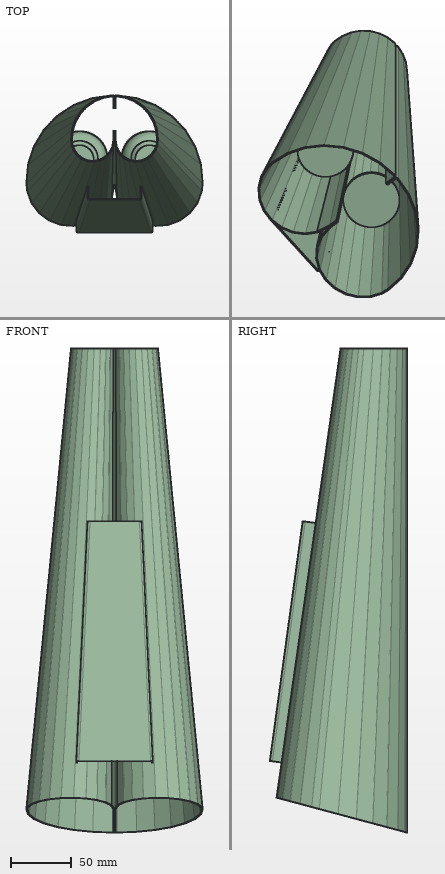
import cadquery as cq
import math

HEIGHT = 400.0
TOP_RADIUS = 36.0
TOP_LOBE_Y = -37.0
BOTTOM_RADIUS = 74.8
BOTTOM_LOBE_Y = -74.8
FOOT_ANGLE = 15.0

SHEET = 1.0
BEND_RADIUS = 2.0
BACK_FLANGE = 10.8
VALLEY_FLANGE = 8.0
BACK_FACETS = 7
LOBE_FACETS = 9
LOBE_START = 10.0
LOBE_END = 160.0

TRAY_FOOT_Z = 59.0
TRAY_FOOT_Y = -113.5
TRAY_LENGTH = 200.0
TRAY_FOOT_WIDTH = 63.0
TRAY_HEAD_WIDTH = 44.8
TRAY_LEAN = 7.8
TRAY_FLANGE = 19.0

DOME_X = 28.8
DOME_Y = -52.8
DOME_Z = 128.0
DOME_RADIUS = 23.0
DOME_HEIGHT = 16.0
DOME_RIM_DIRECTION = (0, 1)
DOME_TOP_DIRECTION = (-1, 0.5)
CAP_RADIUS = 15.0
CAP_HEIGHT = 4.0
CAP_CHAMFER = 3.5

SIDES = (-1, 1)


def on_circle(center_x, center_y, radius, degrees):
    """Point on a circle, with 0 degrees at -X and turning toward -Y."""
    angle = math.radians(degrees)
    return (center_x - radius * math.cos(angle), center_y - radius * math.sin(angle))


def skin_points(radius, lobe_y, inset):
    """Facet corners of the left half of the heart, from the back bend to the valley."""
    bend_angle = math.degrees(math.asin(BEND_RADIUS / radius))
    back_step = (90 - bend_angle) / BACK_FACETS
    back = [(-BEND_RADIUS, -inset)] + [
        on_circle(0, -radius, radius - inset, bend_angle + back_step * i - 90)
        for i in range(1, BACK_FACETS + 1)
    ]
    lobe_radius = radius / 2
    lobe_step = (LOBE_END - LOBE_START) / LOBE_FACETS
    lobe_angles = [LOBE_START + lobe_step * i for i in range(LOBE_FACETS + 1)] + [180]
    lobe = [on_circle(-lobe_radius, lobe_y, lobe_radius - inset, angle) for angle in lobe_angles]
    return back + lobe


def shell_section(radius, lobe_y, z):
    """Closed sheet section of the left shell, with both flanges along X = 0."""
    outer = skin_points(radius, lobe_y, 0)
    inner = skin_points(radius, lobe_y, SHEET)
    valley_y = lobe_y + VALLEY_FLANGE
    inner_bend = BEND_RADIUS - SHEET
    return (
        cq.Workplane("XY", origin=(0, 0, z))
        .moveTo(0, -BACK_FLANGE)
        .lineTo(0, -BEND_RADIUS)
        .radiusArc(outer[0], -BEND_RADIUS)
        .polyline(outer[1:], includeCurrent=True)
        .lineTo(0, valley_y)
        .lineTo(-SHEET, valley_y)
        .polyline(inner[::-1], includeCurrent=True)
        .radiusArc((-SHEET, -BEND_RADIUS), inner_bend)
        .lineTo(-SHEET, -BACK_FLANGE)
        .close()
        .val()
    )


def solid_section(radius, lobe_y, z):
    """Filled outline of the left shell."""
    outer = [(0, 0)] + skin_points(radius, lobe_y, 0)
    return cq.Workplane("XY", origin=(0, 0, z)).polyline(outer).close().val()


def taper(section):
    """Straight loft of a section from the foot to the top, cut off by the sloping foot plane."""
    ends = [section(BOTTOM_RADIUS, BOTTOM_LOBE_Y, 0), section(TOP_RADIUS, TOP_LOBE_Y, HEIGHT)]
    body = cq.Solid.makeLoft(ends, True)
    reach = 2 * BOTTOM_RADIUS
    below_foot = (
        cq.Workplane("YZ")
        .polyline([(0, 0), (-reach, 0), (-reach, reach * math.tan(math.radians(FOOT_ANGLE)))])
        .close()
        .extrude(reach, both=True)
    )
    return cq.Workplane(body).cut(below_foot)


def on_side(body, side):
    """The left body itself, or its mirror image on the right."""
    return body if side < 0 else body.mirror("YZ")


def make_tray(cores):
    """U-shaped bent tray: a tapering plate with side flanges that end on the shells."""
    lean = math.radians(TRAY_LEAN)
    axis = cq.Vector(0, math.sin(lean), math.cos(lean))
    foot = cq.Vector(0, TRAY_FOOT_Y, TRAY_FOOT_Z)

    def section(width, distance):
        half = width / 2
        inner = half - SHEET
        inner_bend = BEND_RADIUS - SHEET
        plane = cq.Plane(origin=foot + axis * distance, xDir=(1, 0, 0), normal=axis)
        return (
            cq.Workplane(plane)
            .moveTo(-half, TRAY_FLANGE)
            .lineTo(-half, BEND_RADIUS)
            .radiusArc((BEND_RADIUS - half, 0), -BEND_RADIUS)
            .lineTo(half - BEND_RADIUS, 0)
            .radiusArc((half, BEND_RADIUS), -BEND_RADIUS)
            .lineTo(half, TRAY_FLANGE)
            .lineTo(inner, TRAY_FLANGE)
            .lineTo(inner, BEND_RADIUS)
            .radiusArc((half - BEND_RADIUS, SHEET), inner_bend)
            .lineTo(BEND_RADIUS - half, SHEET)
            .radiusArc((-inner, BEND_RADIUS), inner_bend)
            .lineTo(-inner, TRAY_FLANGE)
            .close()
            .val()
        )

    ends = [section(TRAY_FOOT_WIDTH, 0), section(TRAY_HEAD_WIDTH, TRAY_LENGTH)]
    tray = cq.Workplane(cq.Solid.makeLoft(ends, True))
    for core in cores:
        tray = tray.cut(core)
    return tray


def make_dome(x):
    """Rounded dome with a flat round top the size of its cap."""
    directions = [DOME_RIM_DIRECTION, DOME_TOP_DIRECTION]
    return (
        cq.Workplane("XZ")
        .lineTo(DOME_RADIUS, 0)
        .spline([(CAP_RADIUS, DOME_HEIGHT)], tangents=directions, includeCurrent=True)
        .lineTo(0, DOME_HEIGHT)
        .close()
        .revolve(360, (0, 0), (0, 1))
        .translate((x, DOME_Y, DOME_Z))
    )


def make_cap(x):
    """Chamfered disc on top of a dome."""
    return (
        cq.Workplane("XY", origin=(x, DOME_Y, DOME_Z + DOME_HEIGHT))
        .circle(CAP_RADIUS)
        .extrude(CAP_HEIGHT)
        .faces(">Z")
        .chamfer(CAP_CHAMFER)
    )


left_shell = taper(shell_section)
left_core = taper(solid_section)
shells = [on_side(left_shell, side) for side in SIDES]
tray = make_tray([on_side(left_core, side) for side in SIDES])
domes = [make_dome(side * DOME_X) for side in SIDES]
caps = [make_cap(side * DOME_X) for side in SIDES]

bodies = shells + [tray] + domes + caps
result = cq.Compound.makeCompound([body.val() for body in bodies])